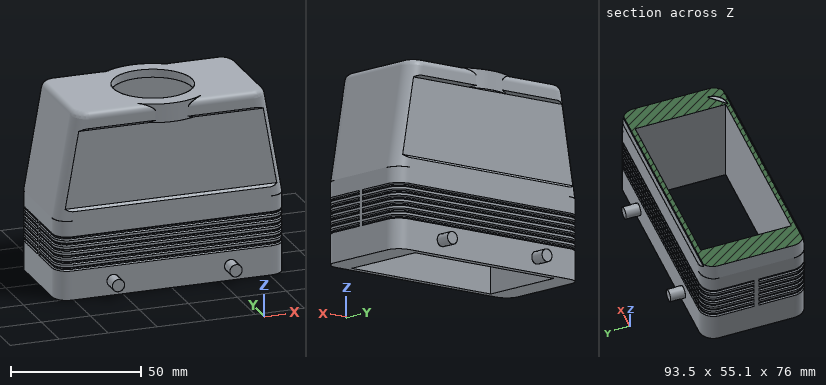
import cadquery as cq
import math

LENGTH = 93.5
WIDTH = 43.0
HEIGHT = 76.0
SKIRT_HEIGHT = 32.4
END_LEAN_DEG = 10.0
CORNER_RADIUS = 6.0
TOP_RADIUS = 3.0

RECESS_DEPTH = 1.0
RECESS_BOTTOM = 37.2
RECESS_TOP = 68.4

ENTRY_BOSS_DIAMETER = 45.0
ENTRY_HOLE_DIAMETER = 32.0

CAVITY_LENGTH = 70.4
SIDE_WALL = 3.0
CAVITY_WIDTH = WIDTH - 2 * SIDE_WALL
TOP_THICKNESS = 3.3

GROOVE_COUNT = 6
GROOVE_PITCH = 2.5
GROOVE_WIDTH = 1.5
GROOVE_DEPTH = 0.5
FIRST_GROOVE_BOTTOM = 12.0
END_RIB_WIDTH = 2.0

PIN_DIAMETER = 5.0
PIN_SPAN = 55.1
PIN_SPACING = 48.0
PIN_HEIGHT = 6.0
PIN_ROOT = 1.0


def rounded_slab(inset, bottom, height):
    """Skirt cross-section, moved inwards by inset and extruded upwards."""
    return (
        cq.Workplane("XY", origin=(0, 0, bottom))
        .rect(LENGTH - 2 * inset, WIDTH - 2 * inset)
        .extrude(height)
        .edges("|Z")
        .fillet(CORNER_RADIUS - inset)
    )


def make_tapered_top():
    rise = HEIGHT - SKIRT_HEIGHT
    top_length = LENGTH - 2 * rise * math.tan(math.radians(END_LEAN_DEG))
    top = (
        cq.Workplane("XZ")
        .moveTo(-LENGTH / 2, SKIRT_HEIGHT)
        .lineTo(LENGTH / 2, SKIRT_HEIGHT)
        .lineTo(top_length / 2, HEIGHT)
        .lineTo(-top_length / 2, HEIGHT)
        .close()
        .extrude(WIDTH / 2, both=True)
    )
    top = top.edges("not(#Z)").fillet(CORNER_RADIUS)
    return top.faces(">Z").edges().fillet(TOP_RADIUS)


def make_side_recess(side):
    """Cutter for one long side; side is -1 or +1."""
    outer = side * WIDTH / 2
    inner = side * (WIDTH / 2 - RECESS_DEPTH)
    return (
        cq.Workplane("YZ")
        .moveTo(outer, RECESS_BOTTOM - RECESS_DEPTH)
        .lineTo(inner, RECESS_BOTTOM)
        .lineTo(inner, RECESS_TOP)
        .lineTo(outer, RECESS_TOP + RECESS_DEPTH)
        .close()
        .extrude(LENGTH / 2, both=True)
    )


def make_groove(bottom):
    """Ring cutter with 45 degree walls, interrupted by the end ribs."""
    top = bottom + GROOVE_WIDTH
    lower_lip = (
        rounded_slab(0, bottom - GROOVE_DEPTH, 2 * GROOVE_DEPTH)
        .faces(">Z")
        .chamfer(GROOVE_DEPTH)
    )
    upper_lip = (
        rounded_slab(0, top - GROOVE_DEPTH, 2 * GROOVE_DEPTH)
        .faces("<Z")
        .chamfer(GROOVE_DEPTH)
    )
    floor_core = rounded_slab(GROOVE_DEPTH, bottom, GROOVE_WIDTH)
    end_ribs = (
        cq.Workplane("XY", origin=(0, 0, bottom))
        .rect(LENGTH, END_RIB_WIDTH)
        .extrude(GROOVE_WIDTH)
    )
    return (
        rounded_slab(0, bottom, GROOVE_WIDTH)
        .cut(lower_lip)
        .cut(upper_lip)
        .cut(floor_core)
        .cut(end_ribs)
    )


def make_entry_boss():
    return (
        cq.Workplane("XY", origin=(0, 0, RECESS_TOP))
        .circle(ENTRY_BOSS_DIAMETER / 2)
        .extrude(HEIGHT - RECESS_TOP)
    )


def make_interior():
    """Straight-sided cavity together with the round entry through the top."""
    cavity = (
        cq.Workplane("XY")
        .rect(CAVITY_LENGTH, CAVITY_WIDTH)
        .extrude(HEIGHT - TOP_THICKNESS)
    )
    entry_hole = cq.Workplane("XY").circle(ENTRY_HOLE_DIAMETER / 2).extrude(HEIGHT)
    return cavity.union(entry_hole)


def make_pin(x, side):
    """Pin standing out of one long side; side is -1 or +1."""
    root = WIDTH / 2 - PIN_ROOT
    plane = cq.Plane(
        origin=(x, side * root, PIN_HEIGHT),
        xDir=(1, 0, 0),
        normal=(0, side, 0),
    )
    return cq.Workplane(plane).circle(PIN_DIAMETER / 2).extrude(PIN_SPAN / 2 - root)


def make_hood():
    hood = rounded_slab(0, 0, SKIRT_HEIGHT).union(make_tapered_top())
    for side in (-1, 1):
        hood = hood.cut(make_side_recess(side))
    for index in range(GROOVE_COUNT):
        hood = hood.cut(make_groove(FIRST_GROOVE_BOTTOM + index * GROOVE_PITCH))

    hood = hood.union(make_entry_boss()).cut(make_interior())
    for x in (-PIN_SPACING / 2, PIN_SPACING / 2):
        for side in (-1, 1):
            hood = hood.union(make_pin(x, side))
    return hood


result = make_hood()